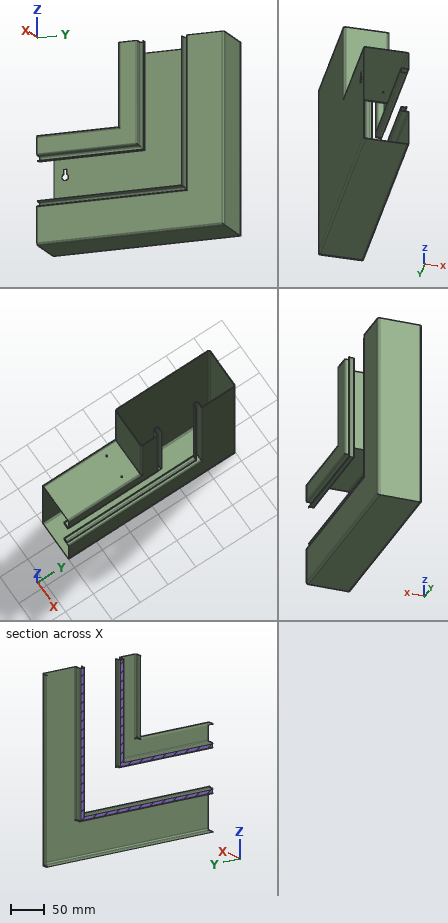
import cadquery as cq
import math


LENGTH = 299.8
DEPTH = 70.0
WIDTH = 170.0
SHEET = 1.2

OUTER_RETURN = 61.2
INNER_RETURN = 31.2
LIP_DEPTH = 13.0
LIP_WIDTH = 7.5
HOOK_RECESS = 3.5
HOOK_ANGLE = 36.0
HOOK_TIP = 0.3

WALL_BEND = 2.7
LIP_BEND = 1.5
HOOK_BEND = 5.7

SCREW_DIAMETER = 2.5
SCREW_SPACING = 39.5
SCREW_FROM_END = 105.0

KEYHOLE_RADIUS = 5.0
KEYHOLE_SLOT_WIDTH = 4.8
KEYHOLE_RISE = 12.0
KEYHOLE_FROM_END = 18.0
KEYHOLE_FROM_BOTTOM = 121.5

FRONT_X = DEPTH / 2
BACK_X = -DEPTH / 2
END_Y = -LENGTH / 2
BOTTOM_Z = -LENGTH / 2
TOP_Z = BOTTOM_Z + WIDTH


def toward(start, target, distance):
    """Point at a distance from start on the way to target."""
    return start + (target - start).normalized() * distance


def sheet_strip(path):
    """Closed outline of a bent sheet; path holds (point, mid-sheet bend radius)."""
    points = [cq.Vector(*point) for point, _ in path]
    half = SHEET / 2
    sides = {1: [], -1: []}
    for index in range(1, len(points) - 1):
        corner = points[index]
        radius = path[index][1]
        before = (corner - points[index - 1]).normalized()
        after = (points[index + 1] - corner).normalized()
        turn = after.getSignedAngle(before)
        setback = radius * math.tan(abs(turn) / 2)
        start = toward(corner, points[index - 1], setback)
        end = toward(corner, points[index + 1], setback)
        left = cq.Vector(-before.y, before.x)
        center = start + left * math.copysign(radius, turn)
        for side, arcs in sides.items():
            bend = radius - side * math.copysign(half, turn)
            arcs.append([toward(center, spot, bend) for spot in (start, corner, end)])

    def square_end(tip, neighbour):
        along = (neighbour - tip).normalized() * half
        across = cq.Vector(-along.y, along.x)
        return tip + across, tip - across

    first_left, first_right = square_end(points[0], points[1])
    last_right, last_left = square_end(points[-1], points[-2])
    outline = cq.Workplane("XZ").moveTo(first_left.x, first_left.y)
    back_arcs = [arc[::-1] for arc in reversed(sides[-1])]
    for arcs, finish in ((sides[1], [last_left, last_right]), (back_arcs, [first_right])):
        for start, middle, end in arcs:
            outline = outline.lineTo(start.x, start.y)
            outline = outline.threePointArc((middle.x, middle.y), (end.x, end.y))
        for point in finish:
            outline = outline.lineTo(point.x, point.y)
    return outline.close()


def lip_path(edge_z, opening):
    """Mid-sheet path from the +X face to the hook tip; opening is the Z sense into the gap."""
    face_x = FRONT_X - SHEET / 2
    floor_x = FRONT_X - LIP_DEPTH + SHEET / 2
    tip_x = FRONT_X - HOOK_RECESS
    flange_z = edge_z - opening * SHEET / 2
    hook_z = edge_z + opening * (LIP_WIDTH - SHEET / 2)
    angle = math.radians(HOOK_ANGLE)
    run = HOOK_BEND * math.tan(angle / 2) + HOOK_TIP
    corner_x = tip_x - run * math.cos(angle)
    tip_z = hook_z + opening * run * math.sin(angle)
    return [
        ((face_x, flange_z), LIP_BEND),
        ((floor_x, flange_z), LIP_BEND),
        ((floor_x, hook_z), LIP_BEND),
        ((corner_x, hook_z), HOOK_BEND),
        ((tip_x, tip_z), 0),
    ]


def channel():
    """Full-length -Y arm of the channel, before mitring."""
    inset = SHEET / 2
    corners = [
        (FRONT_X - inset, TOP_Z - inset),
        (BACK_X + inset, TOP_Z - inset),
        (BACK_X + inset, BOTTOM_Z + inset),
        (FRONT_X - inset, BOTTOM_Z + inset),
    ]
    walls = [(corner, WALL_BEND) for corner in corners]
    upper_lip = lip_path(TOP_Z - INNER_RETURN, -1)
    lower_lip = lip_path(BOTTOM_Z + OUTER_RETURN, 1)
    section = sheet_strip(upper_lip[::-1] + walls + lower_lip)
    return section.extrude(LENGTH / 2, both=True)


def mitre_wedge():
    """Everything below the mitre plane z = -y."""
    half = LENGTH / 2
    triangle = cq.Workplane("YZ").polyline([(-half, half), (-half, -half), (half, -half)]).close()
    return triangle.extrude(DEPTH, both=True)


def screw_holes():
    """Two round cutters through the inner side wall."""
    spots = [(side * SCREW_SPACING / 2, END_Y + SCREW_FROM_END) for side in (-1, 1)]
    plane = cq.Workplane("XY", origin=(0, 0, TOP_Z))
    return plane.pushPoints(spots).circle(SCREW_DIAMETER / 2).extrude(-2 * SHEET)


def keyhole():
    """Round opening with a narrow slot above it, cut through the back wall."""
    center = (BACK_X, END_Y + KEYHOLE_FROM_END, BOTTOM_Z + KEYHOLE_FROM_BOTTOM)
    plane = cq.Workplane("YZ", origin=center)
    round_opening = plane.circle(KEYHOLE_RADIUS).extrude(2 * SHEET)
    slot = plane.center(0, KEYHOLE_RISE / 2).rect(KEYHOLE_SLOT_WIDTH, KEYHOLE_RISE)
    return round_opening.union(slot.extrude(2 * SHEET))


plain_arm = channel().intersect(mitre_wedge())
upright_arm = plain_arm.mirror(cq.Vector(0, 1, 1))
pierced_arm = plain_arm.cut(screw_holes()).cut(keyhole())
result = pierced_arm.union(upright_arm)